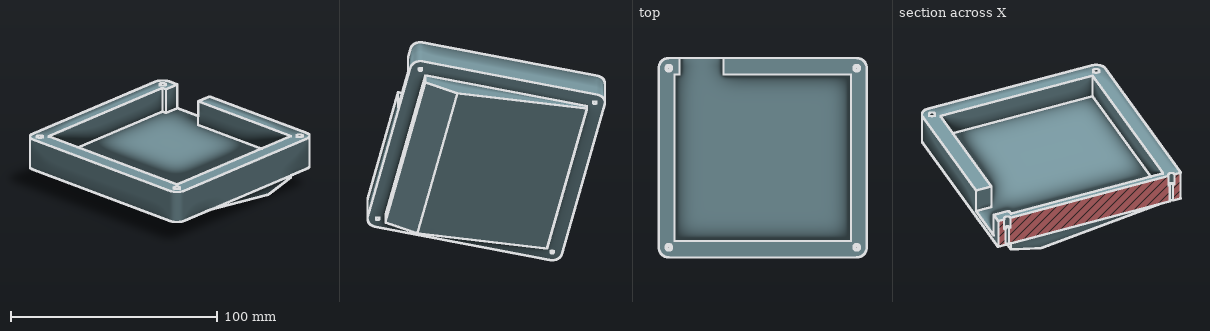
import cadquery as cq

body_length = 101.1
body_width = 96.9
body_height = 16.0
corner_radius = 5.0

side_wall = 7.8
end_wall = 8.1
cavity_depth = 12.5
cavity_length = body_length - 2 * side_wall
cavity_width = body_width - 2 * end_wall

notch_offset = 10.2
notch_length = 21.3

wide_hole_diameter = 3.1
wide_hole_depth = 6.0
through_hole_diameter = 1.6

foot_depth = 10.0
foot_rear_depth = 6.0
foot_front_depth = 2.0
foot_apex_from_rear = 16.0


def make_body():
    """Rounded block with its underside at Z = 0."""
    block = cq.Workplane("XY").rect(body_length, body_width).extrude(body_height)
    return block.edges("|Z").fillet(corner_radius)


def make_foot():
    """Ridge whose profile in the YZ plane is extruded along X."""
    front = -cavity_width / 2
    rear = cavity_width / 2
    profile = [
        (front, 0),
        (rear, 0),
        (rear, -foot_rear_depth),
        (rear - foot_apex_from_rear, -foot_depth),
        (front, -foot_front_depth),
    ]
    return cq.Workplane("YZ").polyline(profile).close().extrude(cavity_length / 2, both=True)


def make_cavity():
    """Rectangular pocket volume together with the notch in the rear wall."""
    floor = cq.Workplane("XY").workplane(offset=body_height - cavity_depth)
    pocket = floor.rect(cavity_length, cavity_width).extrude(cavity_depth)
    notch_center_x = -body_length / 2 + notch_offset + notch_length / 2
    notch = (
        floor.center(notch_center_x, body_width / 4)
        .rect(notch_length, body_width / 2)
        .extrude(cavity_depth)
    )
    return pocket.union(notch)


def drill_corner_holes(part):
    """Drill a stepped through hole at the centre of each corner radius."""
    spacing_x = body_length - 2 * corner_radius
    spacing_y = body_width - 2 * corner_radius
    return (
        part.faces(">Z")
        .workplane(origin=(0, 0, body_height))
        .rect(spacing_x, spacing_y, forConstruction=True)
        .vertices()
        .cboreHole(through_hole_diameter, wide_hole_diameter, wide_hole_depth)
    )


tray = make_body().union(make_foot()).cut(make_cavity())
result = drill_corner_holes(tray)